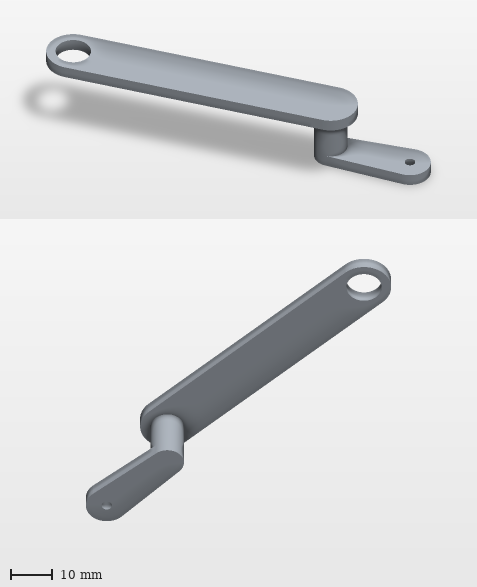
import cadquery as cq
import math

total_length = 96.5
total_height = 16.0
plate_thickness = 3.0
arm_width = 13.0
arm_hole_diameter = 8.5
post_diameter = 8.0
lever_end_diameter = 10.0
lever_hole_diameter = 2.5
lever_spacing = 20.0

arm_radius = arm_width / 2
post_radius = post_diameter / 2
lever_end_radius = lever_end_diameter / 2
lever_hole_x = total_length - arm_radius - lever_end_radius
post_x = lever_hole_x - lever_spacing
arm_bottom = total_height - plate_thickness


def make_arm():
    """Round-ended flat arm with a large hole on the axis of its free end."""
    return (
        cq.Workplane("XY", origin=(0, 0, arm_bottom))
        .center(post_x / 2, 0)
        .slot2D(post_x + arm_width, arm_width)
        .extrude(plate_thickness)
        .faces(">Z")
        .workplane(origin=(0, 0, total_height))
        .hole(arm_hole_diameter)
    )


def make_post():
    """Cylinder joining the lever to the arm."""
    return cq.Workplane("XY").center(post_x, 0).circle(post_radius).extrude(arm_bottom)


def make_lever():
    """Lever whose straight sides are tangent to the post and to its wider round end."""
    taper_sine = (lever_end_radius - post_radius) / lever_spacing
    taper_cosine = math.sqrt(1 - taper_sine**2)
    post_tangent_x = post_x - post_radius * taper_sine
    post_tangent_y = post_radius * taper_cosine
    end_tangent_x = lever_hole_x - lever_end_radius * taper_sine
    end_tangent_y = lever_end_radius * taper_cosine
    return (
        cq.Workplane("XY")
        .moveTo(post_tangent_x, -post_tangent_y)
        .lineTo(end_tangent_x, -end_tangent_y)
        .threePointArc((lever_hole_x + lever_end_radius, 0), (end_tangent_x, end_tangent_y))
        .lineTo(post_tangent_x, post_tangent_y)
        .threePointArc((post_x - post_radius, 0), (post_tangent_x, -post_tangent_y))
        .close()
        .extrude(plate_thickness)
        .faces(">Z")
        .workplane(origin=(lever_hole_x, 0, plate_thickness))
        .hole(lever_hole_diameter)
    )


result = make_arm().union(make_post()).union(make_lever())